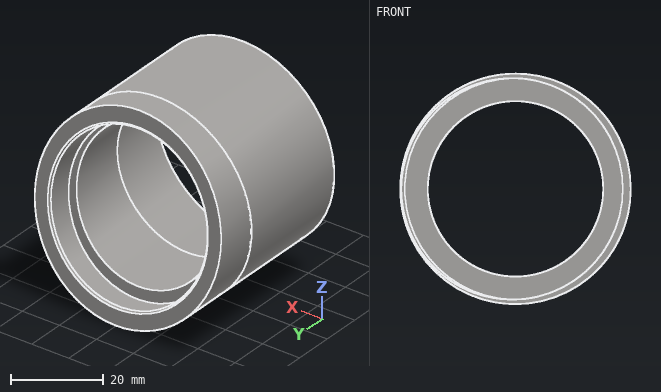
import cadquery as cq
import math

outer_radius = 25.0
joint_y = 30.0
longest_length = 45.8
end_face_angle = 10.0

socket_radius = 24.0
socket_offset = 0.75

spigot_radius = 24.0
spigot_front_y = 19.75
passage_radius = 19.0

counterbore_radius = 21.0
counterbore_depth = 7.0
mouth_chamfer = 0.5

shortest_length = longest_length - 2 * outer_radius * math.tan(math.radians(end_face_angle))


def plane_at(y):
    """Plane across the axis, with local x along X and its normal along +Y."""
    return cq.Workplane(cq.Plane(origin=(0, y, 0), xDir=(1, 0, 0), normal=(0, 1, 0)))


def cylinder(radius, start_y, end_y, center_x=0.0):
    """Round bar parallel to Y."""
    return plane_at(start_y).center(center_x, 0).circle(radius).extrude(end_y - start_y)


def make_spigot():
    return cylinder(spigot_radius, spigot_front_y, joint_y)


def make_socket():
    """Plain tube with an eccentric bore and a seat that matches the spigot."""
    socket = cylinder(outer_radius, 0, joint_y)
    socket = socket.cut(cylinder(socket_radius, 0, joint_y, -socket_offset))
    return socket.cut(make_spigot())


def make_angled_blank():
    """Solid collar whose end face leans back towards the top."""
    side_profile = (
        cq.Workplane("YZ")
        .moveTo(joint_y, -outer_radius)
        .lineTo(longest_length, -outer_radius)
        .lineTo(shortest_length, outer_radius)
        .lineTo(joint_y, outer_radius)
        .close()
        .extrude(outer_radius, both=True)
    )
    return cylinder(outer_radius, joint_y, longest_length).intersect(side_profile)


def make_counterbore():
    """Round pocket square to the tilted end face, with a chamfered mouth."""
    tilt = math.radians(end_face_angle)
    end_plane = cq.Plane(
        origin=(0, (longest_length + shortest_length) / 2, 0),
        xDir=(1, 0, 0),
        normal=(0, math.cos(tilt), math.sin(tilt)),
    )
    pocket = cq.Workplane(end_plane).circle(counterbore_radius).extrude(-counterbore_depth)
    chamfer_cone = (
        cq.Workplane(end_plane)
        .circle(counterbore_radius + mouth_chamfer)
        .workplane(offset=-mouth_chamfer)
        .circle(counterbore_radius)
        .loft()
    )
    return pocket.union(chamfer_cone)


def make_collar():
    """Angled collar with its spigot, a through passage and a tilted counterbore."""
    passage = cylinder(passage_radius, spigot_front_y, longest_length)
    collar = make_angled_blank().union(make_spigot())
    return collar.cut(passage).cut(make_counterbore())


socket = make_socket()
collar = make_collar()

result = cq.Compound.makeCompound([socket.val(), collar.val()])